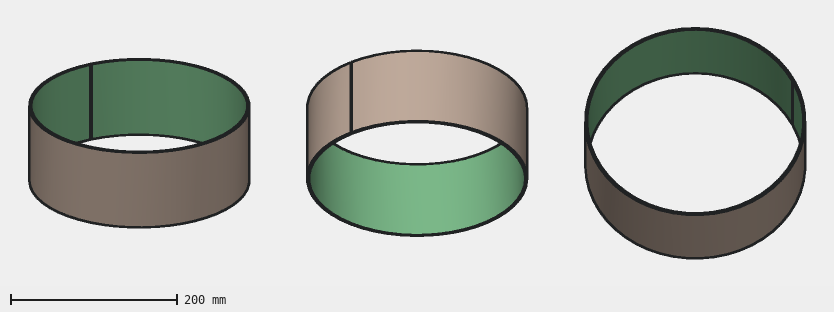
import cadquery as cq

outer_diameter = 265.0
wall_thickness = 2.5
height = 100.0
outer_chamfer = 0.5
inner_chamfer = 0.2
gap_angle = 1.0

outer_radius = outer_diameter / 2
inner_radius = outer_radius - wall_thickness


def wall_section():
    """Wall cross-section in the XZ plane on the -X side, with all four corners bevelled."""
    return (
        cq.Workplane("XZ")
        .moveTo(-inner_radius, inner_chamfer)
        .lineTo(-inner_radius - inner_chamfer, 0)
        .lineTo(-outer_radius + outer_chamfer, 0)
        .lineTo(-outer_radius, outer_chamfer)
        .lineTo(-outer_radius, height - outer_chamfer)
        .lineTo(-outer_radius + outer_chamfer, height)
        .lineTo(-inner_radius - inner_chamfer, height)
        .lineTo(-inner_radius, height - inner_chamfer)
        .close()
    )


sweep_angle = 360 - gap_angle
axis_start = (0, 0, 0)
axis_end = (0, 1, 0)

result = wall_section().revolve(sweep_angle, axis_start, axis_end)